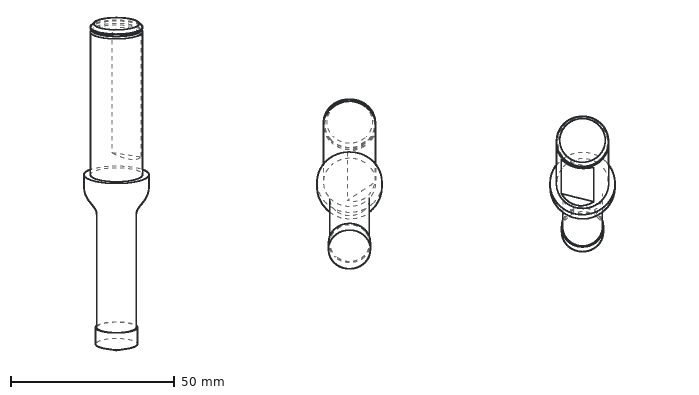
import cadquery as cq
import math

total_length = 104.0
tip_height = 2.1
crown_top = 7.4
collar_bottom = 52.0
collar_top = 56.0

crown_radius = 12.9 / 2
neck_radius = 12.2 / 2
collar_radius = 20.0 / 2
shank_radius = 16.0 / 2

shoulder_bottom = 45.3
taper_angle = math.radians(30)
blend_radius = 4.6

end_chamfer = 1.0
groove_top = total_length - 1.4
groove_width = 1.2
groove_depth = 0.4

flat_offset = 6.1
flat_bottom = 59.0
flat_top = 100.9
flat_end_radius = 2.6


def make_crown():
    """Replaceable drill crown: a short cylinder with a conical point."""
    return (
        cq.Workplane("XZ")
        .lineTo(crown_radius, tip_height)
        .lineTo(crown_radius, crown_top)
        .lineTo(0, crown_top)
        .close()
        .revolve(360, (0, 0, 0), (0, 1, 0))
    )


def make_holder_blank():
    """Turned holder: neck, curved shoulder, collar and grooved shank."""
    blend_inset = blend_radius * (1 - math.cos(taper_angle))
    half_inset = blend_radius * (1 - math.cos(taper_angle / 2))
    half_height = blend_radius * math.sin(taper_angle / 2)
    neck_top = shoulder_bottom - blend_radius * math.sin(taper_angle)
    shoulder_radius = neck_radius + blend_inset
    shoulder_slope = (math.sin(taper_angle), math.cos(taper_angle))

    return (
        cq.Workplane("XZ")
        .moveTo(0, crown_top)
        .lineTo(neck_radius, crown_top)
        .lineTo(neck_radius, neck_top)
        .threePointArc(
            (neck_radius + half_inset, neck_top + half_height),
            (shoulder_radius, shoulder_bottom),
        )
        .spline(
            [(collar_radius, collar_bottom)],
            tangents=[shoulder_slope, (0, 1)],
            includeCurrent=True,
        )
        .lineTo(collar_radius, collar_top)
        .lineTo(shank_radius, collar_top)
        .lineTo(shank_radius, groove_top - groove_width)
        .lineTo(shank_radius - groove_depth, groove_top - groove_width / 2)
        .lineTo(shank_radius, groove_top)
        .lineTo(shank_radius, total_length - end_chamfer)
        .lineTo(shank_radius - end_chamfer, total_length)
        .lineTo(0, total_length)
        .close()
        .revolve(360, (0, 0, 0), (0, 1, 0))
    )


def make_flat_cutter():
    """Material removed for the clamping flat: concave top end, 45 degree bottom end."""
    cutter_depth = 2 * flat_end_radius
    ramp_top = flat_bottom + shank_radius - flat_offset
    ramp_rise = cutter_depth - (shank_radius - flat_offset)
    arc_offset = flat_end_radius * (1 - math.sqrt(0.5))
    return (
        cq.Workplane("YZ")
        .moveTo(flat_offset, ramp_top)
        .lineTo(flat_offset + cutter_depth, flat_bottom - ramp_rise)
        .lineTo(flat_offset + cutter_depth, flat_top)
        .lineTo(flat_offset + flat_end_radius, flat_top)
        .threePointArc(
            (flat_offset + arc_offset, flat_top - arc_offset),
            (flat_offset, flat_top - flat_end_radius),
        )
        .close()
        .extrude(shank_radius, both=True)
    )


crown = make_crown()
holder = make_holder_blank().cut(make_flat_cutter())

result = cq.Compound.makeCompound([holder.val(), crown.val()])